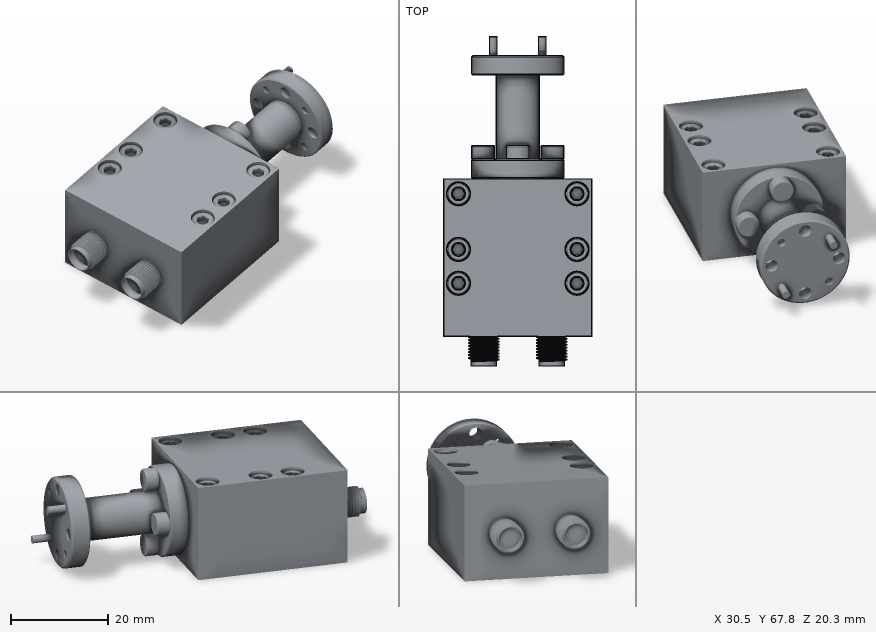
import cadquery as cq
import math

housing_width = 30.48
housing_length = 32.4
housing_height = 20.32

head_diameter = 4.7
head_height = 2.8
head_edge_radius = 0.25
head_seat_chamfer = 0.15

screw_x = 12.19
screw_rows_y = (-3.05, -14.5, -21.46)
counterbore_diameter = 4.95
counterbore_depth = 3.4
socket_across_flats = 2.38
socket_depth = 1.3
socket_mouth_diameter = 2.85
socket_mouth_depth = 0.15

waveguide_length = 25.44
flange_diameter = 19.05
flange_thickness = 4.06
flange_chamfer = 0.25
mating_chamfer = 0.4
tube_diameter = 8.9
bolt_circle_radius = 7.15
bolt_hole_diameter = 2.65
dowel_hole_diameter = 1.7
dowel_diameter = 1.6
dowel_length = 3.85
dowel_hole_depth = flange_thickness / 2

connector_spacing = 13.97
connector_z = -0.25
connector_length = 6.1
barrel_radius = 2.65
barrel_bore_radius = 2.5
barrel_bore_depth = 1.9
thread_crest_radius = 3.17
thread_pitch = 0.614
thread_base_width = 0.5
thread_crest_width = 0.1
thread_turns = 8.4
thread_start = -0.16
thread_root_overlap = 0.1
contact_hole_radius = 0.05
contact_hole_depth = 0.5

SCREW_POINTS = [(side * screw_x, y) for y in screw_rows_y for side in (-1, 1)]


def circle_points(start_angle, step, count):
    """Points on the bolt circle in (X, Z)."""
    angles = [math.radians(start_angle + step * i) for i in range(count)]
    return [(bolt_circle_radius * math.cos(a), bolt_circle_radius * math.sin(a)) for a in angles]


def cylinder_along_y(radius, start_y, end_y, x=0.0, z=0.0):
    """Solid cylinder parallel to Y between two Y positions."""
    solid = cq.Solid.makeCylinder(radius, end_y - start_y, cq.Vector(x, start_y, z), cq.Vector(0, 1, 0))
    return cq.Workplane("XY").newObject([solid])


def make_housing():
    block = cq.Workplane("XY").box(housing_width, housing_length, housing_height)
    block = block.translate((0, -housing_length / 2, 0))
    bores = (
        cq.Workplane("XY", origin=(0, 0, housing_height / 2))
        .pushPoints(SCREW_POINTS)
        .circle(counterbore_diameter / 2)
        .extrude(-counterbore_depth)
    )
    return block.cut(bores)


def make_head():
    """Plain cap screw head standing on Z = 0."""
    head = cq.Workplane("XY").circle(head_diameter / 2).extrude(head_height)
    head = head.faces(">Z").edges().fillet(head_edge_radius)
    return head.faces("<Z").edges().chamfer(head_seat_chamfer)


def make_screw(x, y):
    """Head with a countersunk hexagon socket, seated on the counterbore floor."""
    socket = (
        cq.Workplane("XY", origin=(0, 0, head_height))
        .polygon(6, socket_across_flats / math.cos(math.pi / 6))
        .extrude(-socket_depth)
    )
    mouth = cq.Solid.makeCone(
        socket_across_flats / 2,
        socket_mouth_diameter / 2,
        socket_mouth_depth,
        cq.Vector(0, 0, head_height - socket_mouth_depth),
    )
    seat_z = housing_height / 2 - counterbore_depth
    return make_head().cut(socket).cut(cq.Workplane("XY").newObject([mouth])).translate((x, y, seat_z))


def make_flange(start_y, far_chamfer):
    """Disc with its own chamfer on the +Y rim."""
    flange = cylinder_along_y(flange_diameter / 2, start_y, start_y + flange_thickness)
    flange = flange.faces("<Y").edges().chamfer(flange_chamfer)
    return flange.faces(">Y").edges().chamfer(far_chamfer)


def make_waveguide():
    far_flange_y = waveguide_length - flange_thickness
    far_flange = make_flange(far_flange_y, mating_chamfer)
    for x, z in circle_points(0, 90, 4):
        far_flange = far_flange.cut(
            cylinder_along_y(bolt_hole_diameter / 2, far_flange_y, waveguide_length, x, z)
        )
    for x, z in circle_points(45, 180, 2):
        far_flange = far_flange.cut(
            cylinder_along_y(dowel_hole_diameter / 2, far_flange_y, waveguide_length, x, z)
        )
    dowel_base_y = far_flange_y + dowel_hole_depth
    for x, z in circle_points(135, 180, 2):
        far_flange = far_flange.cut(
            cylinder_along_y(dowel_hole_diameter / 2, far_flange_y, dowel_base_y, x, z)
        )
        far_flange = far_flange.union(
            cylinder_along_y(dowel_diameter / 2, dowel_base_y, waveguide_length + dowel_length, x, z)
        )

    tube = cylinder_along_y(tube_diameter / 2, 0, far_flange_y)
    waveguide = make_flange(0, flange_chamfer).union(tube).union(far_flange)

    head = make_head().rotate((0, 0, 0), (1, 0, 0), -90)
    for x, z in circle_points(0, 90, 4):
        waveguide = waveguide.union(head.translate((x, flange_thickness, z)))
    return waveguide


def make_thread():
    """Right-handed ridge wound around +Z, reaching a little into the barrel."""
    root_radius = barrel_radius - thread_root_overlap
    helix = cq.Wire.makeHelix(thread_pitch, thread_pitch * thread_turns, barrel_radius)
    profile = (
        cq.Workplane("XZ")
        .moveTo(root_radius, -thread_base_width / 2)
        .lineTo(thread_crest_radius, -thread_crest_width / 2)
        .lineTo(thread_crest_radius, thread_crest_width / 2)
        .lineTo(root_radius, thread_base_width / 2)
        .close()
    )
    return profile.sweep(cq.Workplane("XY").newObject([helix]), isFrenet=True)


def make_connector(x):
    """Threaded barrel with an open end and a fine contact hole in its floor, pointing along -Y."""
    barrel = cq.Workplane("XY").circle(barrel_radius).extrude(connector_length)
    behind_face = cq.Workplane("XY").circle(2 * thread_crest_radius).extrude(-thread_pitch)
    thread = make_thread().translate((0, 0, thread_start)).cut(behind_face)
    connector = barrel.union(thread)
    bore_floor = connector_length - barrel_bore_depth
    bore = cq.Workplane("XY", origin=(0, 0, bore_floor)).circle(barrel_bore_radius).extrude(connector_length)
    contact_hole = (
        cq.Workplane("XY", origin=(0, 0, bore_floor)).circle(contact_hole_radius).extrude(-contact_hole_depth)
    )
    connector = connector.cut(bore).cut(contact_hole)
    connector = connector.rotate((0, 0, 0), (1, 0, 0), 90)
    return connector.translate((x, -housing_length, connector_z))


housing = make_housing()
waveguide = make_waveguide()
screws = [make_screw(x, y) for x, y in SCREW_POINTS]
connectors = [make_connector(side * connector_spacing / 2) for side in (-1, 1)]

result = cq.Compound.makeCompound(
    [housing.val(), waveguide.val()]
    + [screw.val() for screw in screws]
    + [connector.val() for connector in connectors]
)